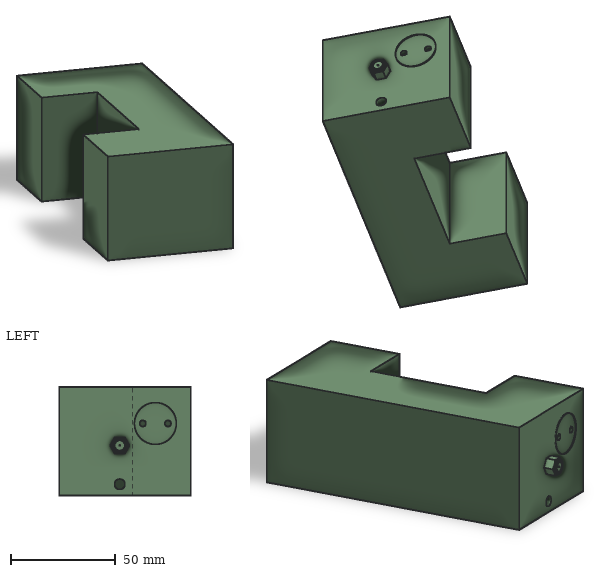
import cadquery as cq
import math

body_length = 138.0
body_depth = 63.0
body_height = 52.0
gap_width = 63.0
gap_depth = 28.0

lid_diameter = 20.0
lid_recess = 0.5
lid_y = 17.0
lid_z = 34.5
spanner_hole_diameter = 3.0
spanner_hole_spacing = 12.0
spanner_hole_depth = 3.0

side_hole_diameter = 5.0
side_hole_depth = 10.0
side_hole_z = 5.5

connector_y = 34.0
connector_z = 24.0
nut_across_flats = 8.0
nut_across_corners = nut_across_flats / math.cos(math.pi / 6)
nut_length = 5.1
nut_end_diameter = 7.9
nut_corner_angle = math.radians(30)
nose_length = 0.9
nose_diameter = 7.5
nose_bevel_length = 0.3
nose_bevel_width = 0.7
connector_length = nut_length + nose_length

recess_diameters = (5.6, 4.9)
recess_step = 0.1
centre_hole_diameter = 0.5
centre_hole_depth = 0.5


def left_face_plane(y, z, x=0.0):
    """Sketch plane parallel to the left face, with its normal pointing out of the body."""
    return cq.Workplane(cq.Plane(origin=(x, y, z), xDir=(0, -1, 0), normal=(-1, 0, 0)))


def make_body():
    block = cq.Workplane("XY").box(body_length, body_depth, body_height, centered=False)
    gap_start = (body_length - gap_width) / 2
    gap = (
        cq.Workplane("XY")
        .box(gap_width, gap_depth, body_height, centered=False)
        .translate((gap_start, 0, 0))
    )
    return block.cut(gap)


def cut_lid(body):
    recess = left_face_plane(lid_y, lid_z).circle(lid_diameter / 2).extrude(-lid_recess)
    spanner_holes = (
        left_face_plane(lid_y, lid_z)
        .rarray(spanner_hole_spacing, 1, 2, 1)
        .circle(spanner_hole_diameter / 2)
        .extrude(-spanner_hole_depth)
    )
    return body.cut(recess).cut(spanner_holes)


def cut_side_hole(body):
    hole = left_face_plane(connector_y, side_hole_z).circle(side_hole_diameter / 2).extrude(-side_hole_depth)
    return body.cut(hole)


def make_nut():
    hexagon = left_face_plane(connector_y, connector_z).polygon(6, nut_across_corners).extrude(nut_length)
    corner_radius = nut_across_corners / 2
    end_radius = nut_end_diameter / 2
    bevel_length = (corner_radius - end_radius) * math.tan(nut_corner_angle)
    turned_blank = (
        left_face_plane(connector_y, connector_z)
        .circle(corner_radius)
        .extrude(nut_length)
        .faces("<X")
        .chamfer(bevel_length, corner_radius - end_radius)
    )
    return hexagon.intersect(turned_blank)


def make_nose():
    cylinder = left_face_plane(connector_y, connector_z).circle(nose_diameter / 2).extrude(connector_length)
    return cylinder.faces("<X").chamfer(nose_bevel_length, nose_bevel_width)


def make_connector():
    connector = make_nut().union(make_nose())
    end_face = left_face_plane(connector_y, connector_z, -connector_length)
    for step, diameter in enumerate(recess_diameters, start=1):
        connector = connector.cut(end_face.circle(diameter / 2).extrude(-step * recess_step))
    centre_hole = end_face.circle(centre_hole_diameter / 2).extrude(-centre_hole_depth)
    return connector.cut(centre_hole)


body = cut_side_hole(cut_lid(make_body()))
result = body.union(make_connector())